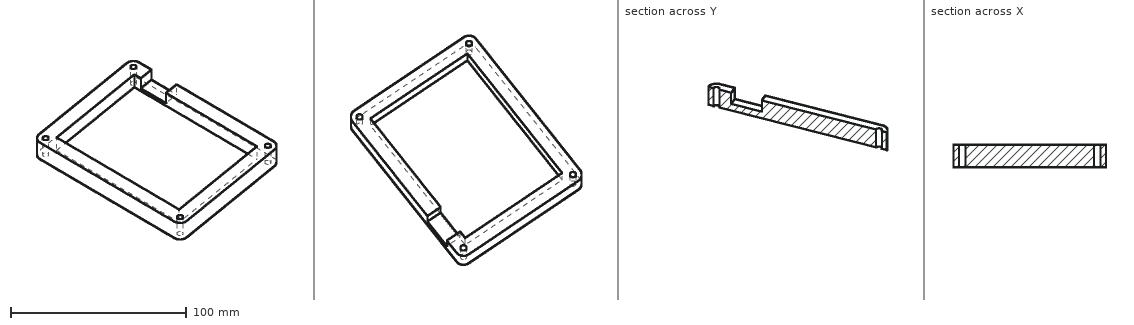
import cadquery as cq

length = 110.6
width = 87.3
height = 13.0
corner_radius = 5.0

rim = 9.4
floor_thickness = 3.0

notch_width = 18.8
notch_offset = 14.3
notch_depth = 8.0

hole_diameter = 3.4


def make_block():
    block = cq.Workplane("XY").box(length, width, height, centered=(True, True, False))
    return block.edges("|Z").fillet(corner_radius)


def make_pocket():
    return (
        cq.Workplane("XY", origin=(0, 0, floor_thickness))
        .rect(length - 2 * rim, width - 2 * rim)
        .extrude(height - floor_thickness)
    )


def make_notch():
    start = (-length / 2 + notch_offset, width / 2 - rim, height - notch_depth)
    return cq.Workplane("XY", origin=start).box(notch_width, rim, notch_depth, centered=False)


def make_screw_holes():
    spacing_x = length - 2 * corner_radius
    spacing_y = width - 2 * corner_radius
    return (
        cq.Workplane("XY")
        .rect(spacing_x, spacing_y, forConstruction=True)
        .vertices()
        .circle(hole_diameter / 2)
        .extrude(height)
    )


result = make_block().cut(make_pocket()).cut(make_notch()).cut(make_screw_holes())